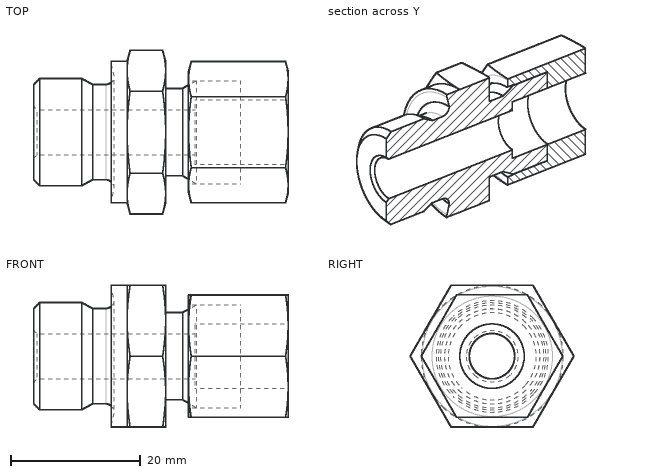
import cadquery as cq
import math


stud_radius = 8.33
stud_chamfer = 0.95
stud_taper_start = 7.45
undercut_start = 9.15
undercut_radius = 7.4

collar_start = 12.0
collar_radius = 11.0
sealing_edge_radius = 10.5
sealing_cone_inner_radius = 8.68
root_fillet_start = 11.15
root_fillet_radius = 1.3

body_hex_start = 14.5
body_hex_end = 20.5
body_hex_across_flats = 2 * collar_radius
body_hex_face_radius = 10.87

neck_radius = 6.8
neck_end = 23.1
tube_end_radius = 8.0
tube_end_taper_angle = 30.0
tube_end_length = 8.0

bore_radius = 3.5
bore_chamfer = 0.5
tube_radius = 5.0
tube_socket_depth = 7.0

nut_start = 24.0
nut_end = 39.5
nut_across_flats = 19.0
nut_face_radius = 9.35
hex_chamfer_angle = 15.0

tube_end_start = neck_end + (tube_end_radius - neck_radius) / math.tan(math.radians(tube_end_taper_angle))
tube_end_face = nut_start + tube_end_length


def cylinder(start, end, radius):
    """Cylinder along X between two positions."""
    return cq.Workplane("YZ", origin=(start, 0, 0)).circle(radius).extrude(end - start)


def revolve_about_x(outline):
    """Turn a closed outline, drawn as (x, radius), about the X axis."""
    return outline.close().revolve(360, (0, 0, 0), (1, 0, 0))


def hexagon(start, end, across_flats, start_face_radius, end_face_radius):
    """Hexagonal bar along X, corners on +Y and -Y, its ends turned to shallow cones."""
    corner_radius = across_flats / math.sqrt(3)
    slope = math.tan(math.radians(hex_chamfer_angle))
    start_chamfer = (corner_radius - start_face_radius) * slope
    end_chamfer = (corner_radius - end_face_radius) * slope
    bar = cq.Workplane("YZ", origin=(start, 0, 0)).polygon(6, 2 * corner_radius).extrude(end - start)
    envelope = revolve_about_x(
        cq.Workplane("XY")
        .moveTo(start, 0)
        .lineTo(start, start_face_radius)
        .lineTo(start + start_chamfer, corner_radius)
        .lineTo(end - end_chamfer, corner_radius)
        .lineTo(end, end_face_radius)
        .lineTo(end, 0)
    )
    return bar.intersect(envelope)


def make_stud_and_collar():
    """Chamfered stud, undercut, root fillet and the collar with its hollow sealing cone."""
    fillet_centre_radius = undercut_radius + root_fillet_radius
    fillet_end_angle = math.acos((fillet_centre_radius - sealing_cone_inner_radius) / root_fillet_radius)
    fillet_middle = (
        root_fillet_start + root_fillet_radius * math.sin(fillet_end_angle / 2),
        fillet_centre_radius - root_fillet_radius * math.cos(fillet_end_angle / 2),
    )
    fillet_end = (
        root_fillet_start + root_fillet_radius * math.sin(fillet_end_angle),
        sealing_cone_inner_radius,
    )
    return revolve_about_x(
        cq.Workplane("XY")
        .moveTo(0, 0)
        .lineTo(0, stud_radius - stud_chamfer)
        .lineTo(stud_chamfer, stud_radius)
        .lineTo(stud_taper_start, stud_radius)
        .lineTo(undercut_start, undercut_radius)
        .lineTo(root_fillet_start, undercut_radius)
        .threePointArc(fillet_middle, fillet_end)
        .lineTo(collar_start, sealing_edge_radius)
        .lineTo(collar_start, collar_radius)
        .lineTo(body_hex_start, collar_radius)
        .lineTo(body_hex_start, 0)
    )


def make_neck_and_tube_end():
    """Neck behind the hexagon, widening to the tube end that the nut screws onto."""
    return revolve_about_x(
        cq.Workplane("XY")
        .moveTo(body_hex_end, 0)
        .lineTo(body_hex_end, neck_radius)
        .lineTo(neck_end, neck_radius)
        .lineTo(tube_end_start, tube_end_radius)
        .lineTo(tube_end_face, tube_end_radius)
        .lineTo(tube_end_face, 0)
    )


def make_body_bore():
    """Through bore with a chamfered mouth, opening to the tube socket."""
    return revolve_about_x(
        cq.Workplane("XY")
        .moveTo(0, 0)
        .lineTo(0, bore_radius + bore_chamfer)
        .lineTo(bore_chamfer, bore_radius)
        .lineTo(tube_end_face - tube_socket_depth, bore_radius)
        .lineTo(tube_end_face - tube_socket_depth, tube_radius)
        .lineTo(tube_end_face, tube_radius)
        .lineTo(tube_end_face, 0)
    )


def make_body():
    body_hex = hexagon(
        body_hex_start, body_hex_end, body_hex_across_flats, collar_radius, body_hex_face_radius
    )
    solid_body = make_stud_and_collar().union(body_hex).union(make_neck_and_tube_end())
    return solid_body.cut(make_body_bore())


def make_nut():
    """Hexagonal nut seated over the tube end, with a tube hole through its rear wall."""
    blank = hexagon(nut_start, nut_end, nut_across_flats, nut_face_radius, nut_face_radius)
    tube_end_hole = cylinder(nut_start, tube_end_face, tube_end_radius)
    tube_hole = cylinder(tube_end_face, nut_end, tube_radius)
    return blank.cut(tube_end_hole).cut(tube_hole)


body = make_body()
nut = make_nut()

result = cq.Compound.makeCompound([body.val(), nut.val()])